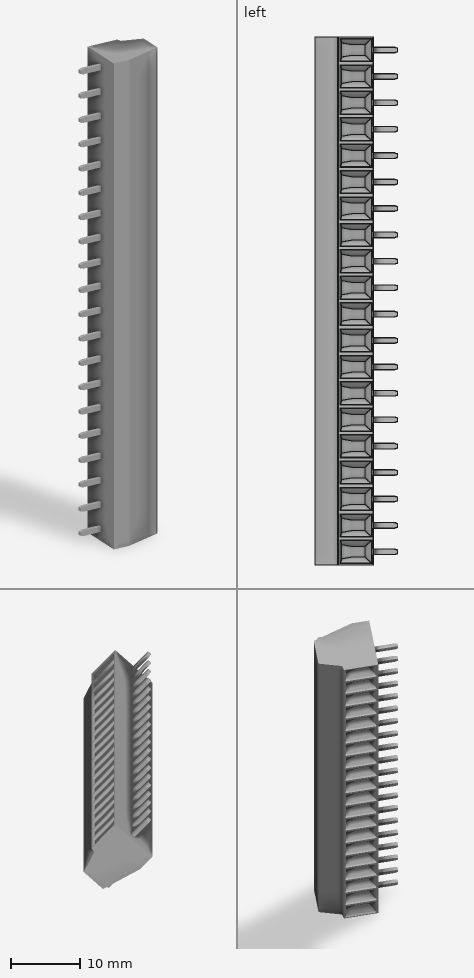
import cadquery as cq

strip_height = 76.2
body_width = 7.3
overall_depth = 12.0
pole_count = 20
pitch = strip_height / pole_count

pin_length = 3.5
body_depth = overall_depth - pin_length
shoulder_outer_y = 5.0
shoulder_inner_y = 5.2
shoulder_width = 0.7
crest_left = 1.7
crest_right = 5.5
right_edge_height = 2.6

ridge_x = 6.0
ridge_drop = 0.6
ridge_end_gap = 0.2

mouth_margin = 0.2
mouth_height = pitch - 2 * mouth_margin
bevel_depth = 0.2
bevel_inset = 0.1

throat_height = 1.5
throat_depth = 1.2
throat_end_depth = 0.9
throat_start_y = 1.2
throat_bend_y = 3.1
throat_end_y = 4.6

pin_x = 3.5
pin_thickness = 0.5
pin_height = 0.85
pin_embed = 0.8
tip_length = 0.45
tip_inset = 0.15


def make_body():
    outline = [
        (0, 0),
        (body_width, 0),
        (body_width, right_edge_height),
        (crest_right, body_depth),
        (crest_left, body_depth),
        (shoulder_width, shoulder_inner_y),
        (0, shoulder_outer_y),
    ]
    return cq.Workplane("XY").polyline(outline).close().extrude(strip_height)


def make_ridge():
    """Triangular ridge with a flat top and a side parallel to the YZ plane."""
    slope_run = (body_width - crest_right) / (body_depth - right_edge_height)
    top_y = body_depth - ridge_drop
    foot_y = body_depth - (ridge_x - crest_right) / slope_run
    outline = [
        (crest_right + slope_run * ridge_drop, top_y),
        (ridge_x, top_y),
        (ridge_x, foot_y),
    ]
    base_plane = cq.Workplane("XY", origin=(0, 0, ridge_end_gap))
    return base_plane.polyline(outline).close().extrude(strip_height - 2 * ridge_end_gap)


def solid_from_faces(outlines):
    faces = []
    for outline in outlines:
        wire = cq.Wire.makePolygon([cq.Vector(*point) for point in outline], close=True)
        faces.append(cq.Face.makeFromWires(wire))
    return cq.Workplane(obj=cq.Solid.makeSolid(cq.Shell.makeShell(faces)))


def make_entry():
    """Wire entry cavity of one pole, centred on z = 0 and open at x = 0."""
    funnel_height = mouth_height - 2 * bevel_inset
    funnel_start_y = mouth_margin + bevel_inset
    funnel_end_y = shoulder_outer_y - mouth_margin - bevel_inset

    roof_slope = (funnel_height - throat_height) / (throat_depth - bevel_depth)
    throat_end_height = funnel_height - roof_slope * (throat_end_depth - bevel_depth)

    def edge(x, y, height):
        return (x, y, -height / 2), (x, y, height / 2)

    mouth_a, mouth_b = edge(0, mouth_margin, mouth_height)
    mouth_d, mouth_c = edge(0, shoulder_outer_y - mouth_margin, mouth_height)
    funnel_a, funnel_b = edge(bevel_depth, funnel_start_y, funnel_height)
    funnel_d, funnel_c = edge(bevel_depth, funnel_end_y, funnel_height)
    start_low, start_high = edge(throat_depth, throat_start_y, throat_height)
    bend_low, bend_high = edge(throat_depth, throat_bend_y, throat_height)
    end_low, end_high = edge(throat_end_depth, throat_end_y, throat_end_height)

    bevel = solid_from_faces([
        [mouth_a, mouth_b, mouth_c, mouth_d],
        [funnel_a, funnel_b, funnel_c, funnel_d],
        [mouth_a, mouth_b, funnel_b, funnel_a],
        [mouth_b, mouth_c, funnel_c, funnel_b],
        [mouth_c, mouth_d, funnel_d, funnel_c],
        [mouth_d, mouth_a, funnel_a, funnel_d],
    ])
    funnel = solid_from_faces([
        [funnel_a, funnel_b, funnel_c, funnel_d],
        [funnel_a, funnel_b, start_high, start_low],
        [funnel_d, funnel_c, end_high, end_low],
        [start_low, start_high, bend_high, bend_low],
        [bend_low, bend_high, end_high, end_low],
        [funnel_a, funnel_d, end_low, bend_low, start_low],
        [funnel_b, funnel_c, end_high, bend_high, start_high],
    ])
    return bevel.union(funnel)


def make_pin():
    """One solder pin, centred on z = 0."""
    half_height = pin_height / 2
    half_tip = half_height - tip_inset
    tip_start_y = tip_length - pin_length
    side_outline = [
        (pin_embed, -half_height),
        (tip_start_y, -half_height),
        (-pin_length, -half_tip),
        (-pin_length, half_tip),
        (tip_start_y, half_height),
        (pin_embed, half_height),
    ]
    side_plane = cq.Workplane("YZ", origin=(pin_x, 0, 0))
    return side_plane.polyline(side_outline).close().extrude(pin_thickness / 2, both=True)


entry = make_entry()
pin = make_pin()
result = make_body().union(make_ridge())
for pole in range(pole_count):
    pole_center = (0, 0, (pole + 0.5) * pitch)
    result = result.cut(entry.translate(pole_center))
    result = result.union(pin.translate(pole_center))